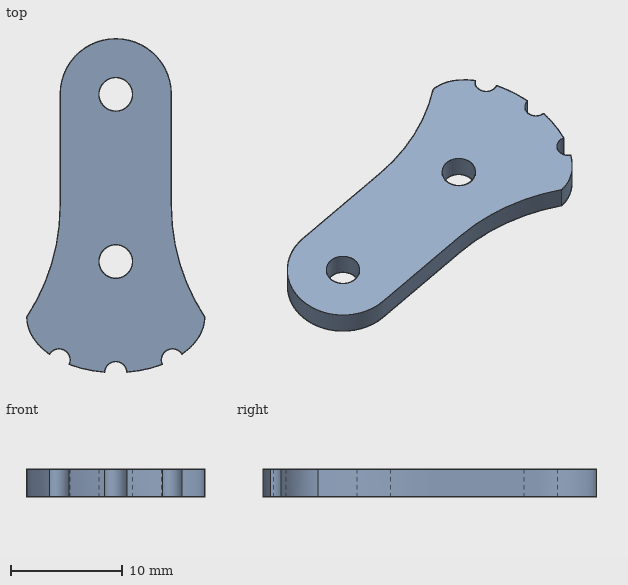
import cadquery as cq
import math

length = 29.95
thickness = 2.5
end_radius = 5.0
arm_length = 10.0
foot_half_width = 8.0
foot_depth = 5.0
hole_diameter = 3.0
hole_spacing = 15.0
notch_radius = 1.0
side_notch_x = 5.1

axis_difference = foot_half_width**2 - foot_depth**2
root_term = math.sqrt(foot_half_width**4 - axis_difference * notch_radius**2)
lip_rise = (foot_half_width**2 - root_term) / axis_difference
foot_y = end_radius - length + foot_depth * (1 - lip_rise)

flare_width = foot_half_width - end_radius
flare_length = -arm_length - foot_y
flare_radius = (flare_width**2 + flare_length**2) / (2 * flare_width)
flare_mid_angle = math.asin(flare_length / flare_radius) / 2
flare_mid_x = end_radius + flare_radius * (1 - math.cos(flare_mid_angle))
flare_mid_y = -arm_length - flare_radius * math.sin(flare_mid_angle)


def foot_edge_y(x):
    """Height of the elliptical lower edge at a given x."""
    return foot_y - foot_depth * math.sqrt(1 - (x / foot_half_width) ** 2)


arm = (
    cq.Workplane("XY")
    .moveTo(-end_radius, 0)
    .threePointArc((0, end_radius), (end_radius, 0))
    .lineTo(end_radius, -arm_length)
    .threePointArc((flare_mid_x, flare_mid_y), (foot_half_width, foot_y))
    .lineTo(-foot_half_width, foot_y)
    .threePointArc((-flare_mid_x, flare_mid_y), (-end_radius, -arm_length))
    .close()
    .extrude(thickness)
)

upper_half = (
    cq.Workplane("XY")
    .center(0, foot_y)
    .rect(2 * foot_half_width, 2 * foot_depth)
    .extrude(thickness)
    .translate((0, foot_depth, 0))
)
foot = (
    cq.Workplane("XY")
    .center(0, foot_y)
    .ellipse(foot_half_width, foot_depth)
    .extrude(thickness)
    .cut(upper_half)
)

holes = (
    cq.Workplane("XY")
    .pushPoints([(0, 0), (0, -hole_spacing)])
    .circle(hole_diameter / 2)
    .extrude(thickness)
)

notches = (
    cq.Workplane("XY")
    .pushPoints([(x, foot_edge_y(x)) for x in (-side_notch_x, 0, side_notch_x)])
    .circle(notch_radius)
    .extrude(thickness)
)

result = arm.union(foot).cut(holes).cut(notches)